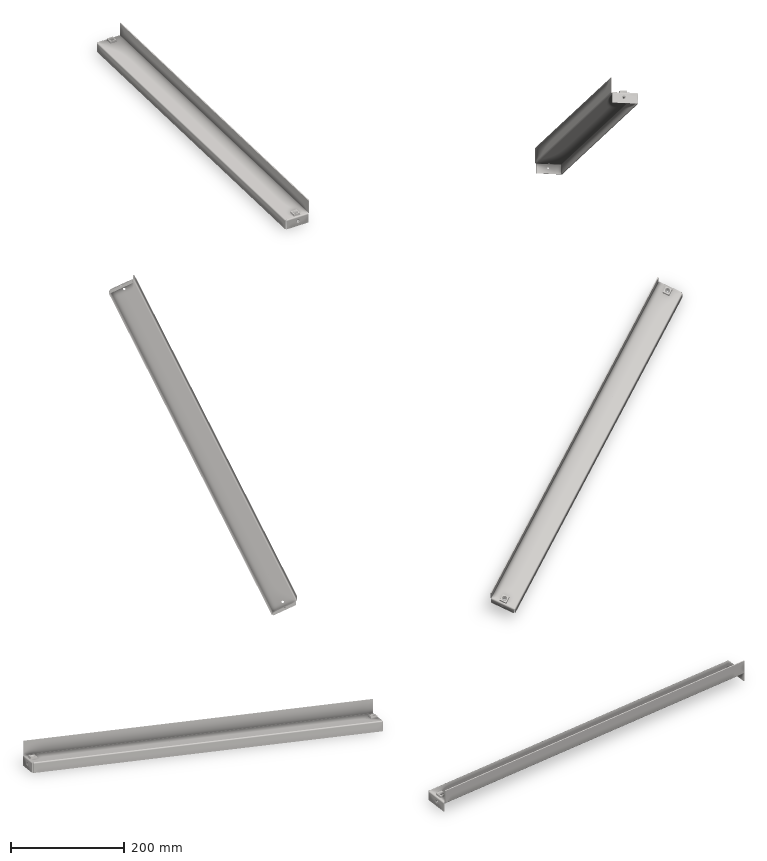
import cadquery as cq

LENGTH = 665.0
WIDTH = 49.0
HEIGHT = 45.0

SHEET = 1.85
INNER_BEND = 0.45
OUTER_BEND = INNER_BEND + SHEET
SHELF_TOP = 19.0
SHELF_BOTTOM = SHELF_TOP - SHEET
BEND_START = SHELF_TOP - OUTER_BEND
FRONT = -WIDTH / 2
BACK = WIDTH / 2
END = LENGTH / 2
WALL_LENGTH = LENGTH - 2 * SHEET
TAB_WIDTH = WIDTH - 2 * OUTER_BEND

CENTRE_Y = 1.0
SIDES = (-1, 1)

TAB_HOLE_Z = SHELF_TOP / 2
TAB_HOLE_OUTER_RADIUS = 3.65
TAB_HOLE_INNER_RADIUS = 1.0

SOCKET_BASE = 13.0
SOCKET_HEIGHT = 3.9
SOCKET_DRAFT = 9.5
SOCKET_END_GAP = 3.65
SOCKET_X = END - SOCKET_END_GAP - SOCKET_BASE / 2
BORE_TOP_RADIUS = 4.5
BORE_BOTTOM_RADIUS = 2.3


def make_long_fold():
    """Front lip, shelf and raised back wall, as one section run along the length."""
    return (
        cq.Workplane("YZ", origin=(-WALL_LENGTH / 2, 0, 0))
        .moveTo(FRONT, 0)
        .lineTo(FRONT, BEND_START)
        .radiusArc((FRONT + OUTER_BEND, SHELF_TOP), OUTER_BEND)
        .lineTo(BACK - OUTER_BEND, SHELF_TOP)
        .radiusArc((BACK - SHEET, SHELF_TOP + INNER_BEND), -INNER_BEND)
        .lineTo(BACK - SHEET, HEIGHT)
        .lineTo(BACK, HEIGHT)
        .lineTo(BACK, SHELF_TOP + INNER_BEND)
        .radiusArc((BACK - OUTER_BEND, SHELF_BOTTOM), OUTER_BEND)
        .lineTo(FRONT + OUTER_BEND, SHELF_BOTTOM)
        .radiusArc((FRONT + SHEET, BEND_START), -INNER_BEND)
        .lineTo(FRONT + SHEET, 0)
        .close()
        .extrude(WALL_LENGTH)
    )


def make_cross_fold():
    """Strip of shelf with a tab folded down at both ends, as one section run along the width."""
    return (
        cq.Workplane("XZ", origin=(0, TAB_WIDTH / 2, 0))
        .moveTo(-END, 0)
        .lineTo(-END, BEND_START)
        .radiusArc((-END + OUTER_BEND, SHELF_TOP), OUTER_BEND)
        .lineTo(END - OUTER_BEND, SHELF_TOP)
        .radiusArc((END, BEND_START), OUTER_BEND)
        .lineTo(END, 0)
        .lineTo(END - SHEET, 0)
        .lineTo(END - SHEET, BEND_START)
        .radiusArc((END - OUTER_BEND, SHELF_BOTTOM), -INNER_BEND)
        .lineTo(-END + OUTER_BEND, SHELF_BOTTOM)
        .radiusArc((-END + SHEET, BEND_START), -INNER_BEND)
        .lineTo(-END + SHEET, 0)
        .close()
        .extrude(TAB_WIDTH)
    )


def make_cone(mouth, direction, mouth_radius, far_radius, depth):
    """Cone that narrows from its mouth along the given direction."""
    cone = cq.Solid.makeCone(mouth_radius, far_radius, depth, cq.Vector(*mouth), cq.Vector(*direction))
    return cq.Workplane(cone)


def make_tab_hole(side):
    mouth = (side * END, CENTRE_Y, TAB_HOLE_Z)
    return make_cone(mouth, (-side, 0, 0), TAB_HOLE_OUTER_RADIUS, TAB_HOLE_INNER_RADIUS, SHEET)


def make_shelf_hole(side):
    """Hole through the shelf that carries on from the narrow end of a socket's bore."""
    centre = (side * SOCKET_X, CENTRE_Y, SHELF_BOTTOM)
    return cq.Workplane("XY", origin=centre).circle(BORE_BOTTOM_RADIUS).extrude(SHEET)


def make_end_notches():
    """Room at both ends of the shelf for the bends of the tabs."""
    flat_length = LENGTH - 2 * OUTER_BEND
    cut_height = 2 * SHEET
    shelf_plane = cq.Workplane("XY", origin=(0, 0, SHELF_TOP))
    full_strip = shelf_plane.box(LENGTH, TAB_WIDTH, cut_height)
    flat_strip = shelf_plane.box(flat_length, TAB_WIDTH, cut_height)
    return full_strip.cut(flat_strip)


def make_tray():
    tray = make_long_fold().cut(make_end_notches()).union(make_cross_fold())
    for side in SIDES:
        tray = tray.cut(make_tab_hole(side)).cut(make_shelf_hole(side))
    return tray


def make_socket(side):
    block = (
        cq.Workplane("XY", origin=(side * SOCKET_X, CENTRE_Y, SHELF_TOP))
        .rect(SOCKET_BASE, SOCKET_BASE)
        .extrude(SOCKET_HEIGHT, taper=SOCKET_DRAFT)
    )
    mouth = (side * SOCKET_X, CENTRE_Y, SHELF_TOP + SOCKET_HEIGHT)
    bore = make_cone(mouth, (0, 0, -1), BORE_TOP_RADIUS, BORE_BOTTOM_RADIUS, SOCKET_HEIGHT)
    return block.cut(bore)


tray = make_tray()
sockets = [make_socket(side).val() for side in SIDES]
result = cq.Compound.makeCompound([tray.val(), *sockets])